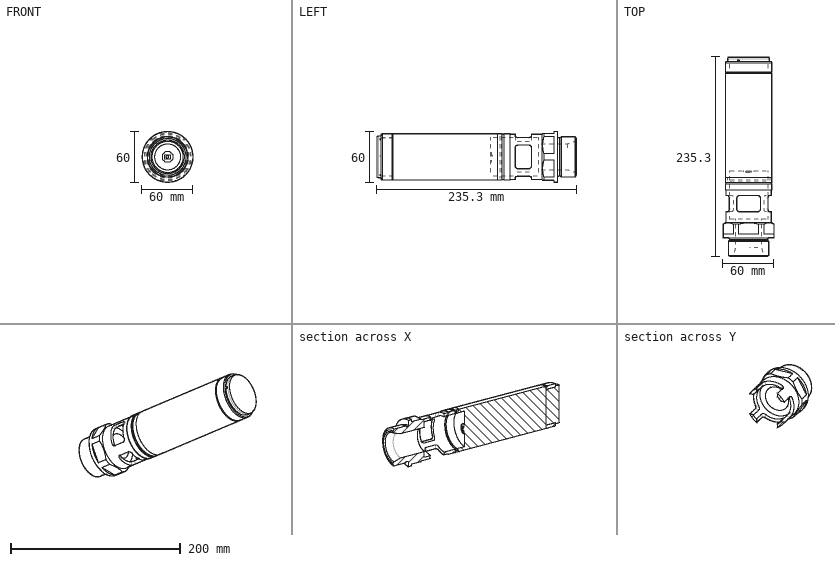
import cadquery as cq
import math

TOTAL_LENGTH = 235.3
Y_START = -TOTAL_LENGTH / 2

BODY_RADIUS = 27.5
GROOVE_DEPTH = 0.7
NECK_RADIUS = BODY_RADIUS - GROOVE_DEPTH
CHAMBER_RADIUS = 22.5
SPIGOT_RADIUS = 25.0

THREAD_END = 18.0
FLANGE_START = 22.1
HEX_START = 26.5
HEX_END = 40.5
CHAMBER_START = 44.7
COLLAR_START = 78.4
GROOVE_START = 85.5
GROOVE_END = 87.5
SOCKET_START = 88.2
SPIGOT_START = 90.4
TUBE_START = 93.2
CHAMBER_END = 101.2
CAP_START = 217.0
CAP_END = 230.1

THREAD_RADIUS = 24.0
THREAD_CHAMFER_LENGTH = 1.5
THREAD_TIP_RADIUS = 21.6
UNDERCUT_RADIUS = 22.5
UNDERCUT_START = 19.3
UNDERCUT_END = 20.2
SHOULDER_RADIUS = 23.3

MOUTH_RADIUS = 19.8
MOUTH_CHAMFER = 1.5
THROAT_RADIUS = 15.3
THROAT_START = 10.5

FLANGE_DIAMETER = 60.0
FLANGE_RADIUS = FLANGE_DIAMETER / 2
HEX_SIDES = 6
HEX_ACROSS_FLATS = 55.3
HEX_CHAMFER_LENGTH = 2.1

WINDOW_COUNT = 4
WINDOW_WIDTH = 27.5
WINDOW_START = 53.2
WINDOW_END = 72.0
WINDOW_CORNER = 2.8

SENSOR_SIDES = 8
SENSOR_ACROSS_FLATS = 12.5
SENSOR_HEIGHT = 1.0
CHIP_WIDTH = 7.0
CHIP_DEPTH = 5.0
CHIP_OFFSET = 0.35
CHIP_HEIGHT = 0.7
LENS_DIAMETER = 3.0
LENS_HEIGHT = 0.5

CAP_JOINT_CHAMFER = GROOVE_DEPTH
CAP_CHAMFER_LENGTH = 1.6
CAP_TOP_RADIUS = NECK_RADIUS
CAP_BORE_RADIUS = CHAMBER_RADIUS
PLUG_RADIUS = 24.7
PLUG_RIM_RADIUS = 24.2
PLUG_RIM_START = 233.2
PIN_HOLE_COUNT = 3
PIN_HOLE_DIAMETER = 2.4
PIN_HOLE_DEPTH = 1.5
PIN_HOLE_STATION = 230.5
PIN_HOLE_ANGLE = 30.0


def revolved(profile):
    """Solid of revolution about the Y axis, from (radius, station) points swept round from +Z."""
    points = [(Y_START + station, radius) for radius, station in profile]
    return cq.Workplane("YZ").polyline(points).close().revolve(360, (0, 0), (1, 0))


def plane_at(station):
    """Workplane across the axis, facing +Y, with its local x along -X and local y along +Z."""
    return cq.Workplane(cq.Plane((0, Y_START + station, 0), (-1, 0, 0), (0, 1, 0)))


def across_corners(across_flats, sides):
    """Corner-to-corner size of a regular polygon with an even number of sides."""
    return across_flats / math.cos(math.pi / sides)


def trim_hexagon(cage):
    """Cut six flats into the round blank above the flange, with one flat facing +Z."""
    height = HEX_END - HEX_START
    corner_diameter = across_corners(HEX_ACROSS_FLATS, HEX_SIDES)
    waste = (
        plane_at(HEX_START)
        .circle(2 * FLANGE_RADIUS)
        .polygon(HEX_SIDES, corner_diameter)
        .extrude(height)
    )
    return cage.cut(waste)


def cut_windows(cage):
    """Cut rounded rectangular windows through the wall, evenly spaced around the axis."""
    length = WINDOW_END - WINDOW_START
    middle = Y_START + (WINDOW_START + WINDOW_END) / 2
    window = (
        cq.Workplane("XY")
        .center(0, middle)
        .rect(WINDOW_WIDTH, length)
        .extrude(BODY_RADIUS)
        .edges("|Z")
        .fillet(WINDOW_CORNER)
    )
    for index in range(WINDOW_COUNT):
        angle = index * 360 / WINDOW_COUNT
        cage = cage.cut(window.rotate((0, 0, 0), (0, 1, 0), angle))
    return cage


def make_cage():
    """Threaded connector, hexagon and windowed cage in one piece, with a socket for the tube."""
    profile = [
        (MOUTH_RADIUS, 0),
        (THREAD_TIP_RADIUS, 0),
        (THREAD_RADIUS, THREAD_CHAMFER_LENGTH),
        (THREAD_RADIUS, THREAD_END),
        (UNDERCUT_RADIUS, UNDERCUT_START),
        (UNDERCUT_RADIUS, UNDERCUT_END),
        (SHOULDER_RADIUS, FLANGE_START),
        (FLANGE_RADIUS, FLANGE_START),
        (FLANGE_RADIUS, HEX_END - HEX_CHAMFER_LENGTH),
        (NECK_RADIUS, HEX_END),
        (NECK_RADIUS, COLLAR_START),
        (BODY_RADIUS, COLLAR_START),
        (BODY_RADIUS, GROOVE_START),
        (NECK_RADIUS, GROOVE_START),
        (NECK_RADIUS, GROOVE_END),
        (BODY_RADIUS, GROOVE_END),
        (BODY_RADIUS, TUBE_START),
        (SPIGOT_RADIUS, TUBE_START),
        (SPIGOT_RADIUS, SOCKET_START),
        (CHAMBER_RADIUS, SOCKET_START),
        (CHAMBER_RADIUS, CHAMBER_START),
        (THROAT_RADIUS, CHAMBER_START),
        (THROAT_RADIUS, THROAT_START),
        (MOUTH_RADIUS - MOUTH_CHAMFER, MOUTH_CHAMFER),
    ]
    return cut_windows(trim_hexagon(revolved(profile)))


def make_tube():
    """Long housing with a spigot in the cage, closing the chamber and carrying the sensor."""
    profile = [
        (0, CHAMBER_END),
        (CHAMBER_RADIUS, CHAMBER_END),
        (CHAMBER_RADIUS, SPIGOT_START),
        (SPIGOT_RADIUS, SPIGOT_START),
        (SPIGOT_RADIUS, TUBE_START),
        (BODY_RADIUS, TUBE_START),
        (BODY_RADIUS, CAP_START - CAP_JOINT_CHAMFER),
        (NECK_RADIUS, CAP_START),
        (0, CAP_START),
    ]
    corner_diameter = across_corners(SENSOR_ACROSS_FLATS, SENSOR_SIDES)
    sensor = (
        plane_at(CHAMBER_END)
        .transformed(rotate=(0, 0, 180 / SENSOR_SIDES))
        .polygon(SENSOR_SIDES, corner_diameter)
        .extrude(-SENSOR_HEIGHT)
    )
    chip = (
        plane_at(CHAMBER_END - SENSOR_HEIGHT)
        .center(CHIP_OFFSET, 0)
        .rect(CHIP_WIDTH, CHIP_DEPTH)
        .extrude(-CHIP_HEIGHT)
    )
    lens = (
        plane_at(CHAMBER_END - SENSOR_HEIGHT - CHIP_HEIGHT)
        .center(CHIP_OFFSET, 0)
        .circle(LENS_DIAMETER / 2)
        .extrude(-LENS_HEIGHT)
    )
    return revolved(profile).union(sensor).union(chip).union(lens)


def make_cap():
    """Ring seated on the end of the tube."""
    profile = [
        (CAP_BORE_RADIUS, CAP_START),
        (NECK_RADIUS, CAP_START),
        (BODY_RADIUS, CAP_START + CAP_JOINT_CHAMFER),
        (BODY_RADIUS, CAP_END - CAP_CHAMFER_LENGTH),
        (CAP_TOP_RADIUS, CAP_END),
        (CAP_BORE_RADIUS, CAP_END),
    ]
    return revolved(profile)


def make_plug():
    """Plug filling the cap ring, with a wider chamfered head and small pin holes beside the ring."""
    profile = [
        (0, CAP_START),
        (CAP_BORE_RADIUS, CAP_START),
        (CAP_BORE_RADIUS, CAP_END),
        (PLUG_RADIUS, CAP_END),
        (PLUG_RADIUS, PLUG_RIM_START),
        (PLUG_RIM_RADIUS, TOTAL_LENGTH),
        (0, TOTAL_LENGTH),
    ]
    pin_hole = (
        cq.Workplane("XY")
        .workplane(offset=PLUG_RADIUS - PIN_HOLE_DEPTH)
        .center(0, Y_START + PIN_HOLE_STATION)
        .circle(PIN_HOLE_DIAMETER / 2)
        .extrude(2 * PIN_HOLE_DEPTH)
    )
    plug = revolved(profile).rotate((0, 0, 0), (0, 1, 0), -90)
    for index in range(PIN_HOLE_COUNT):
        angle = PIN_HOLE_ANGLE + index * 360 / PIN_HOLE_COUNT
        plug = plug.cut(pin_hole.rotate((0, 0, 0), (0, 1, 0), -angle))
    return plug


cage = make_cage()
tube = make_tube()
cap = make_cap()
plug = make_plug()

result = cq.Compound.makeCompound([cage.val(), tube.val(), cap.val(), plug.val()])